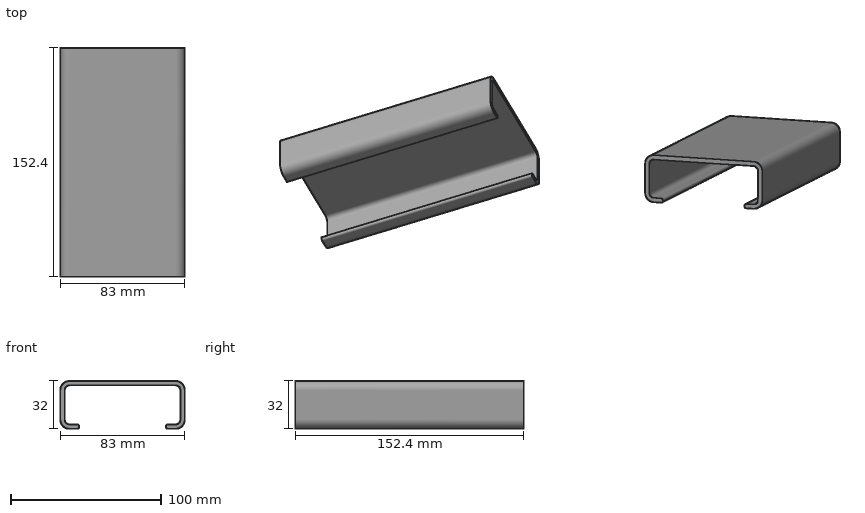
import cadquery as cq

width = 83.0
length = 152.4
height = 32.0

thickness = 3.0
outer_radius = 6.2
inner_radius = outer_radius - thickness
lip_reach = 12.6
lip_edge_radius = 1.4


def rounded_bar(bar_width, bar_height, corner_radius):
    """Bar along Y, centred on the origin, with its four long edges rounded."""
    bar = cq.Workplane("XY").box(bar_width, length, bar_height)
    return bar.edges("|Y").fillet(corner_radius)


outside = rounded_bar(width, height, outer_radius)
inside = rounded_bar(width - 2 * thickness, height - 2 * thickness, inner_radius)
tube = outside.cut(inside)

opening_width = width - 2 * lip_reach
opening = (
    cq.Workplane("XY")
    .box(opening_width, length, thickness)
    .translate((0, 0, (thickness - height) / 2))
)
channel = tube.cut(opening)

tip_edges = cq.selectors.BoxSelector(
    (-opening_width / 2 - lip_edge_radius, -length, -height),
    (opening_width / 2 + lip_edge_radius, length, 0),
)
result = channel.edges("|Y").edges(tip_edges).fillet(lip_edge_radius)